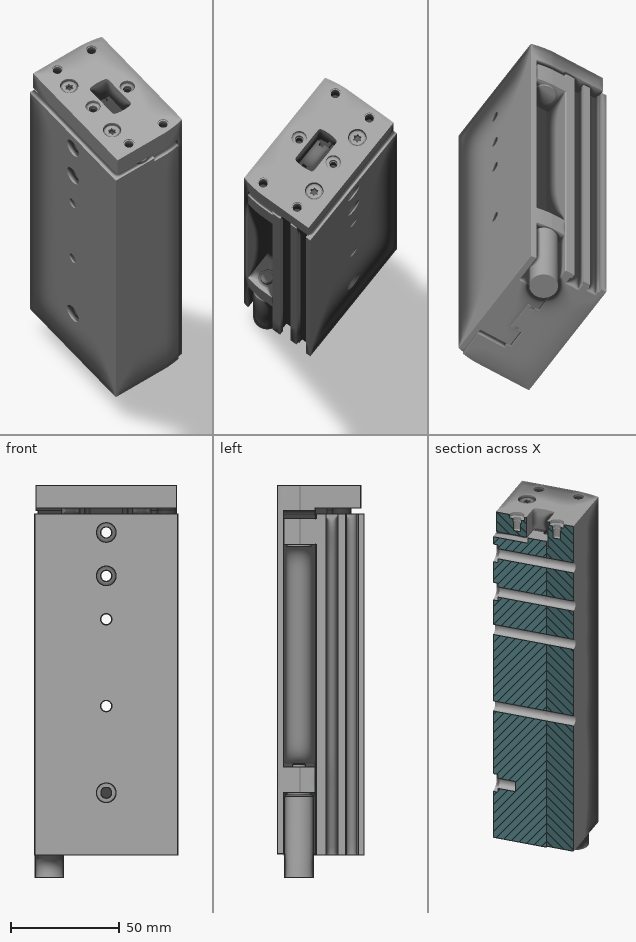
import cadquery as cq
import math


HOUSING_WIDTH = 66.0
OVERALL_DEPTH = 40.0
OVERALL_LENGTH = 180.8
TUBE_OVERHANG = 10.3
HOUSING_LENGTH = 157.3
TOP = OVERALL_LENGTH - TUBE_OVERHANG

SHOULDER_START = 29.5
SHOULDER_RADIUS = 54.3
SHOULDER_SLOPE = 0.06

SLIDE_WIDTH = 65.0
PLATE_THICKNESS = 2.7
PLATE_BACK = OVERALL_DEPTH - PLATE_THICKNESS
SLIDE_BOTTOM = 0.5
YOKE_FRONT = 1.5
YOKE_THICKNESS = 10.5
YOKE_BOTTOM = TOP - YOKE_THICKNESS
YOKE_STEP = 1.0
YOKE_STEP_BOTTOM = YOKE_BOTTOM - YOKE_STEP
CARRIAGE_WIDTH = 33.3
CARRIAGE_FRONT = 22.6
FOOT_FRONT = 21.0
CARRIAGE_FILLET = 1.8
BLOCK_BOTTOM = 29.0
BLOCK_TOP = 40.7

BASE_DEPTH = 22.5
BASE_CHAMFER = 0.5
TROUGH_FLOOR = 20.3
STOP_BOTTOM = 143.2
STOP_TOP = 155.2
STOP_BACK = 36.9
STOP_INNER_X = 18.8
STOP_PAD_DIAMETER = 11.0
STOP_PAD_HEIGHT = 0.9

T_SLOT_Y = 14.8
T_SLOT_MOUTH = 5.5
T_SLOT_LIP = 2.2
T_SLOT_CHAMBER = 7.2
T_SLOT_DEPTH = 6.1
STEP_SLOT_Y = 5.6
STEP_SLOT_MOUTH = 6.0
STEP_SLOT_MOUTH_DEPTH = 2.2
STEP_SLOT_WIDTH = 4.9
STEP_SLOT_DEPTH = 4.3
RIDGE_SETBACK = 0.7

RAIL_WIDTH = 14.8
RAIL_FRONT = 17.0
RAIL_BACK = 26.4
GROOVE_FRONT = 22.5
GROOVE_BACK = 24.8
GROOVE_DEPTH = 1.6

WINDOW_FRONT = 16.5
WINDOW_BACK = 27.0
WINDOW_END_WIDTH = 18.8
WINDOW_MIDDLE_WIDTH = 20.3
WINDOW_CORNER = 1.5
WINDOW_BOTTOM = HOUSING_LENGTH - 0.9

HOLE_PITCH = 20.0
LOWEST_HOLE_Z = 28.8
THROUGH_HOLE_STEPS = (2, 4, 5, 6)
COUNTERBORE_STEPS = (5, 6)
THROUGH_HOLE_DIAMETER = 5.0
COUNTERBORE_DIAMETER = 9.0
COUNTERBORE_DEPTH = 2.2
BLIND_HOLE_DIAMETER = 5.0
BLIND_HOLE_DEPTH = 10.9

CORNER_HOLE_X = 27.5
YOKE_HOLE_FRONT_Y = 11.8
YOKE_HOLE_BACK_Y = 31.5
CORNER_SINK_DIAMETER = 5.0
CORNER_CORE_DIAMETER = 4.2
CORNER_SINK_DEPTH = 0.5
CENTRING_DIAMETER = 7.0
CENTRING_DEPTH = 1.8
CENTRE_THREAD_DIAMETER = 4.0
CENTRE_THREAD_DEPTH = 3.6
CENTRE_CORE_DIAMETER = 3.3
THREAD_DEPTH = 8.0

ROD_X = 16.5
ROD_Y = 10.3
ROD_DIAMETER = 8.5
ROD_DEPTH = 36.2
ROD_SEAL_DIAMETER = 16.0
ROD_SEAL_DEPTH = 0.5
ROD_NECK_DIAMETER = 4.9
ROD_HEAD_DIAMETER = 8.0
ROD_CROWN_DIAMETER = 6.5
ROD_CROWN_HEIGHT = 0.4
ROD_HEAD_RECESS = 1.0
ROD_POCKET_DIAMETER = 8.5
ROD_POCKET_DEPTH = 4.7
SOCKET_LOBES = 6
SOCKET_OUTER_RADIUS = 2.2
SOCKET_INNER_RADIUS = 1.5
SOCKET_DEPTH = 2.2

BUFFER_X = 27.9
BUFFER_Y = 17.2
BUFFER_DIAMETER = 9.0
BUFFER_CHAMFER = 0.9
BUFFER_DEPTH = 18.0

DAMPER_X = -26.2
DAMPER_Y = 30.0
TUBE_DIAMETER = 13.2
TUBE_TOP = 27.9
TUBE_CHAMFER = 0.7
COLLAR_DIAMETER = 11.0
DAMPER_NECK_DIAMETER = 8.5
DAMPER_NECK_RECESS = 0.5
DAMPER_PIN_DIAMETER = 6.0
DAMPER_PIN_HEIGHT = 1.6
DAMPER_PIN_CHAMFER = 0.5


def box(x0, x1, y0, y1, z0, z1):
    return cq.Workplane("XY").box(x1 - x0, y1 - y0, z1 - z0, centered=False).translate((x0, y0, z0))


def rod_along_z(x, y, diameter, z0, z1):
    return cq.Workplane("XY", origin=(x, y, z0)).circle(diameter / 2).extrude(z1 - z0)


def rod_along_y(z, diameter, y0, y1):
    return cq.Workplane("XZ", origin=(0, y0, z)).circle(diameter / 2).extrude(y0 - y1)


def shouldered_bar(width, front, back, z0, z1):
    """Full-width bar whose sides curve inward behind SHOULDER_START."""
    half = width / 2

    def side(y):
        rise = y - SHOULDER_START
        return half - SHOULDER_SLOPE * rise - rise**2 / (2 * SHOULDER_RADIUS)

    middle = (SHOULDER_START + back) / 2
    return (
        cq.Workplane("XY", origin=(0, 0, z0))
        .moveTo(-half, front)
        .lineTo(half, front)
        .lineTo(half, SHOULDER_START)
        .threePointArc((side(middle), middle), (side(back), back))
        .lineTo(-side(back), back)
        .threePointArc((-side(middle), middle), (-half, SHOULDER_START))
        .close()
        .extrude(z1 - z0)
    )


def rail_profile(z0, z1):
    """Guide rail with a ball groove in each side."""
    half = RAIL_WIDTH / 2
    rail = box(-half, half, RAIL_FRONT, RAIL_BACK, z0, z1)
    for x0 in (-half, half - GROOVE_DEPTH):
        rail = rail.cut(box(x0, x0 + GROOVE_DEPTH, GROOVE_FRONT, GROOVE_BACK, z0, z1))
    return rail


def side_channel(centre_y, width, depth):
    """Straight channel of the given depth along the -X side of the housing."""
    outer = -HOUSING_WIDTH / 2
    return box(outer, outer + depth, centre_y - width / 2, centre_y + width / 2, 0, HOUSING_LENGTH)


def sensor_slots():
    """T-slot and stepped slot, with the ridge between them set back."""
    mouth = side_channel(T_SLOT_Y, T_SLOT_MOUTH, T_SLOT_DEPTH)
    lips = side_channel(T_SLOT_Y, T_SLOT_CHAMBER, T_SLOT_LIP)
    chamber = side_channel(T_SLOT_Y, T_SLOT_CHAMBER, T_SLOT_DEPTH).cut(lips)
    step_mouth = side_channel(STEP_SLOT_Y, STEP_SLOT_MOUTH, STEP_SLOT_MOUTH_DEPTH)
    step_channel = side_channel(STEP_SLOT_Y, STEP_SLOT_WIDTH, STEP_SLOT_DEPTH)
    ridge_cut = side_channel((T_SLOT_Y + STEP_SLOT_Y) / 2, T_SLOT_Y - STEP_SLOT_Y, RIDGE_SETBACK)
    return mouth.union(chamber).union(step_mouth).union(step_channel).union(ridge_cut)


def mounting_through_holes():
    """Holes along Y that run through the housing, rail and slide."""
    holes = cq.Workplane("XY")
    for step in THROUGH_HOLE_STEPS:
        z = LOWEST_HOLE_Z + step * HOLE_PITCH
        holes = holes.add(rod_along_y(z, THROUGH_HOLE_DIAMETER, 0, OVERALL_DEPTH))
    return holes.combine()


def make_housing():
    half = HOUSING_WIDTH / 2
    carriage_half = CARRIAGE_WIDTH / 2

    body = box(-half, half, 0, BASE_DEPTH, 0, HOUSING_LENGTH)
    body = body.edges("|Z and <X and >Y").chamfer(BASE_CHAMFER)
    body = body.cut(box(-carriage_half, carriage_half, TROUGH_FLOOR, BASE_DEPTH, 0, HOUSING_LENGTH))

    stop = shouldered_bar(HOUSING_WIDTH, TROUGH_FLOOR, STOP_BACK, STOP_BOTTOM, STOP_TOP)
    stop = stop.intersect(box(-half, -STOP_INNER_X, 0, STOP_BACK, STOP_BOTTOM, STOP_TOP))
    wall = shouldered_bar(HOUSING_WIDTH, TROUGH_FLOOR, STOP_BACK, 0, STOP_TOP)
    wall = wall.intersect(box(STOP_INNER_X, half, 0, STOP_BACK, 0, STOP_TOP))
    pad = rod_along_z(DAMPER_X, DAMPER_Y, STOP_PAD_DIAMETER, STOP_BOTTOM - STOP_PAD_HEIGHT, STOP_BOTTOM)
    body = body.union(stop).union(wall).union(pad)

    body = body.union(rail_profile(0, YOKE_BOTTOM))

    body = body.cut(sensor_slots())

    body = body.cut(mounting_through_holes())
    for step in COUNTERBORE_STEPS:
        z = LOWEST_HOLE_Z + step * HOLE_PITCH
        body = body.cut(rod_along_y(z, COUNTERBORE_DIAMETER, 0, COUNTERBORE_DEPTH))
    body = body.cut(rod_along_y(LOWEST_HOLE_Z, COUNTERBORE_DIAMETER, 0, COUNTERBORE_DEPTH))
    body = body.cut(rod_along_y(LOWEST_HOLE_Z, BLIND_HOLE_DIAMETER, 0, BLIND_HOLE_DEPTH))

    for x in (-ROD_X, ROD_X):
        body = body.cut(rod_along_z(x, ROD_Y, ROD_DIAMETER, HOUSING_LENGTH - ROD_DEPTH, HOUSING_LENGTH))
        body = body.cut(
            rod_along_z(x, ROD_Y, ROD_SEAL_DIAMETER, HOUSING_LENGTH - ROD_SEAL_DEPTH, HOUSING_LENGTH)
        )
    return body.cut(
        rod_along_z(BUFFER_X, BUFFER_Y, BUFFER_DIAMETER, HOUSING_LENGTH - BUFFER_DEPTH, HOUSING_LENGTH)
    )


def yoke_window():
    """Window with bulged sides through the yoke, down to the end of the carriage."""
    end = WINDOW_END_WIDTH / 2
    bulge = WINDOW_MIDDLE_WIDTH / 2
    middle = (WINDOW_FRONT + WINDOW_BACK) / 2
    return (
        cq.Workplane("XY", origin=(0, 0, WINDOW_BOTTOM))
        .moveTo(-end, WINDOW_FRONT)
        .lineTo(end, WINDOW_FRONT)
        .threePointArc((bulge, middle), (end, WINDOW_BACK))
        .lineTo(-end, WINDOW_BACK)
        .threePointArc((-bulge, middle), (-end, WINDOW_FRONT))
        .close()
        .extrude(TOP - WINDOW_BOTTOM)
        .edges("|Z")
        .fillet(WINDOW_CORNER)
    )


def stepped_hole(x, y, sizes):
    """Hole down from the top of the yoke; sizes lists (diameter, depth) pairs."""
    hole = cq.Workplane("XY")
    for diameter, depth in sizes:
        hole = hole.add(rod_along_z(x, y, diameter, TOP - depth, TOP))
    return hole.combine()


def carriage_fillet(face_z, direction):
    """Concave fillet on the -X side of the carriage, above (1) or below (-1) a level face."""
    x = -CARRIAGE_WIDTH / 2
    z = face_z + direction * CARRIAGE_FILLET
    low, high = sorted((face_z, z))
    strip = box(x - CARRIAGE_FILLET, x, CARRIAGE_FRONT, PLATE_BACK, low, high)
    hollow = (
        cq.Workplane("XZ", origin=(x - CARRIAGE_FILLET, CARRIAGE_FRONT, z))
        .circle(CARRIAGE_FILLET)
        .extrude(CARRIAGE_FRONT - PLATE_BACK)
    )
    return strip.cut(hollow)


def make_slide():
    half = SLIDE_WIDTH / 2
    carriage_half = CARRIAGE_WIDTH / 2

    yoke = shouldered_bar(SLIDE_WIDTH, YOKE_FRONT, OVERALL_DEPTH, YOKE_BOTTOM, TOP)
    rear = shouldered_bar(SLIDE_WIDTH, CARRIAGE_FRONT, OVERALL_DEPTH, SLIDE_BOTTOM, YOKE_BOTTOM)
    step = rear.intersect(box(-half, half, 0, OVERALL_DEPTH, YOKE_STEP_BOTTOM, YOKE_BOTTOM))
    plate = rear.intersect(box(-half, half, PLATE_BACK, OVERALL_DEPTH, SLIDE_BOTTOM, YOKE_BOTTOM))
    block = rear.intersect(box(-half, 0, 0, OVERALL_DEPTH, BLOCK_BOTTOM, BLOCK_TOP))
    carriage = box(
        -carriage_half, carriage_half, CARRIAGE_FRONT, PLATE_BACK, SLIDE_BOTTOM, YOKE_STEP_BOTTOM
    )
    foot = box(-carriage_half, carriage_half, FOOT_FRONT, CARRIAGE_FRONT, SLIDE_BOTTOM, WINDOW_BOTTOM)
    slide = yoke.union(step).union(plate).union(block).union(carriage).union(foot)

    for face_z, direction in ((YOKE_STEP_BOTTOM, -1), (BLOCK_TOP, 1), (BLOCK_BOTTOM, -1)):
        slide = slide.union(carriage_fillet(face_z, direction))

    slide = slide.cut(rail_profile(0, YOKE_BOTTOM))
    slide = slide.cut(yoke_window())
    slide = slide.cut(mounting_through_holes())

    for y in (YOKE_HOLE_FRONT_Y, YOKE_HOLE_BACK_Y):
        for x in (-CORNER_HOLE_X, CORNER_HOLE_X):
            sizes = ((CORNER_SINK_DIAMETER, CORNER_SINK_DEPTH), (CORNER_CORE_DIAMETER, THREAD_DEPTH))
            slide = slide.cut(stepped_hole(x, y, sizes))
        sizes = (
            (CENTRING_DIAMETER, CENTRING_DEPTH),
            (CENTRE_THREAD_DIAMETER, CENTRE_THREAD_DEPTH),
            (CENTRE_CORE_DIAMETER, THREAD_DEPTH),
        )
        slide = slide.cut(stepped_hole(0, y, sizes))

    for x in (-ROD_X, ROD_X):
        sizes = ((ROD_POCKET_DIAMETER, ROD_POCKET_DEPTH), (ROD_NECK_DIAMETER, YOKE_THICKNESS))
        slide = slide.cut(stepped_hole(x, ROD_Y, sizes))
    return slide.cut(rod_along_z(DAMPER_X, DAMPER_Y, DAMPER_NECK_DIAMETER, BLOCK_BOTTOM, BLOCK_TOP))


def make_piston_rod(x):
    head_top = TOP - ROD_HEAD_RECESS
    head_seat = TOP - ROD_POCKET_DEPTH
    rod = rod_along_z(x, ROD_Y, ROD_DIAMETER, HOUSING_LENGTH - ROD_DEPTH, YOKE_BOTTOM)
    neck = rod_along_z(x, ROD_Y, ROD_NECK_DIAMETER, YOKE_BOTTOM, head_seat)
    head = rod_along_z(x, ROD_Y, ROD_HEAD_DIAMETER, head_seat, head_top - ROD_CROWN_HEIGHT)
    crown = rod_along_z(x, ROD_Y, ROD_CROWN_DIAMETER, head_top - ROD_CROWN_HEIGHT, head_top)
    rod = rod.union(neck).union(head).union(crown)

    points = []
    corners = 2 * SOCKET_LOBES
    for i in range(corners):
        radius = SOCKET_INNER_RADIUS if i % 2 else SOCKET_OUTER_RADIUS
        angle = math.pi / 2 + 2 * math.pi * i / corners
        points.append((radius * math.cos(angle), radius * math.sin(angle)))
    socket = cq.Workplane("XY", origin=(x, ROD_Y, head_top)).polyline(points).close().extrude(-SOCKET_DEPTH)
    return rod.cut(socket)


def make_buffer():
    body = rod_along_z(BUFFER_X, BUFFER_Y, BUFFER_DIAMETER, HOUSING_LENGTH - BUFFER_DEPTH, YOKE_BOTTOM)
    return body.faces(">Z").chamfer(BUFFER_CHAMFER)


def make_damper():
    neck_top = BLOCK_TOP - DAMPER_NECK_RECESS
    tube = rod_along_z(DAMPER_X, DAMPER_Y, TUBE_DIAMETER, -TUBE_OVERHANG, TUBE_TOP)
    tube = tube.faces(">Z").chamfer(TUBE_CHAMFER)
    collar = rod_along_z(DAMPER_X, DAMPER_Y, COLLAR_DIAMETER, TUBE_TOP, BLOCK_BOTTOM)
    neck = rod_along_z(DAMPER_X, DAMPER_Y, DAMPER_NECK_DIAMETER, BLOCK_BOTTOM, neck_top)
    pin = rod_along_z(DAMPER_X, DAMPER_Y, DAMPER_PIN_DIAMETER, neck_top, BLOCK_TOP + DAMPER_PIN_HEIGHT)
    pin = pin.faces(">Z").chamfer(DAMPER_PIN_CHAMFER)
    return tube.union(collar).union(neck).union(pin)


housing = make_housing()
slide = make_slide()
piston_rods = [make_piston_rod(x) for x in (-ROD_X, ROD_X)]
buffer = make_buffer()
damper = make_damper()

result = cq.Compound.makeCompound(
    [housing.val(), slide.val(), *[rod.val() for rod in piston_rods], buffer.val(), damper.val()]
)